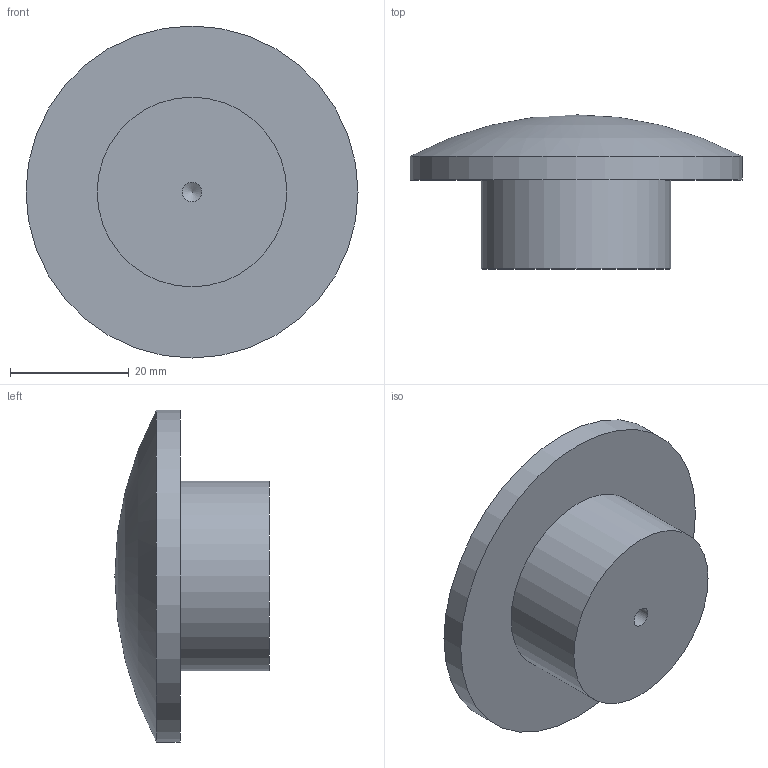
import cadquery as cq
import math

head_diameter = 56.0
rim_thickness = 4.0
dome_height = 7.0
stem_diameter = 32.0
stem_length = 15.0

hole_diameter = 3.3
hole_depth = 10.0
drill_point_angle = 118.0

stem_end_y = -stem_length
dome_top_y = rim_thickness + dome_height

head_radius = head_diameter / 2
stem_radius = stem_diameter / 2
hole_radius = hole_diameter / 2

hole_bottom_y = stem_end_y + hole_depth
drill_tip_y = hole_bottom_y + hole_radius / math.tan(math.radians(drill_point_angle / 2))

sphere_radius = (head_radius**2 + dome_height**2) / (2 * dome_height)
sphere_centre_y = dome_top_y - sphere_radius

arc_mid_x = head_radius / 2
arc_mid_y = sphere_centre_y + math.sqrt(sphere_radius**2 - arc_mid_x**2)

half_section = (
    cq.Workplane("XY")
    .moveTo(0, drill_tip_y)
    .lineTo(hole_radius, hole_bottom_y)
    .lineTo(hole_radius, stem_end_y)
    .lineTo(stem_radius, stem_end_y)
    .lineTo(stem_radius, 0)
    .lineTo(head_radius, 0)
    .lineTo(head_radius, rim_thickness)
    .threePointArc((arc_mid_x, arc_mid_y), (0, dome_top_y))
    .close()
)

result = half_section.revolve(360, (0, 0, 0), (0, 1, 0))